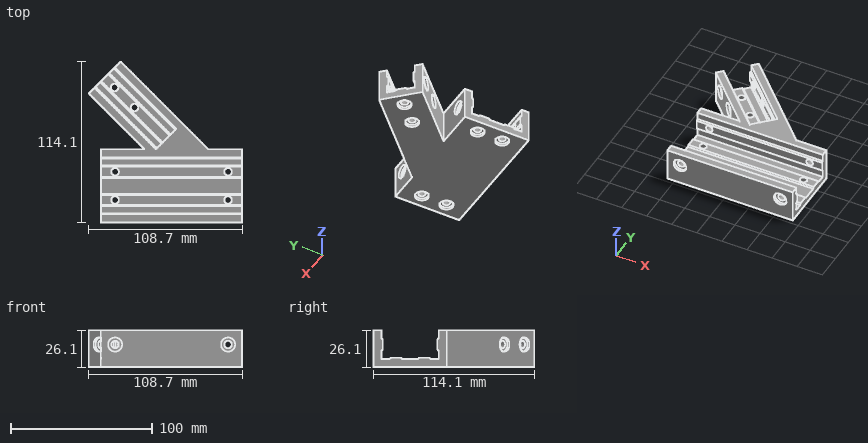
import cadquery as cq
import math

CHANNEL_DEPTH = 20.4
WIDE_CHANNEL = 40.4
NARROW_CHANNEL = 20.4
FLOOR = 5.75
WALL = 5.8
HEIGHT = FLOOR + CHANNEL_DEPTH
BASE_LENGTH = 100.0
BASE_WIDTH = WIDE_CHANNEL + 2 * WALL
ARM_WIDTH = NARROW_CHANNEL + 2 * WALL

ARM_ANGLE = 135.0
ARM_AXIS_LENGTH = 71.766
ARM_AXIS_X = 53.33
LEAN = math.radians(180 - ARM_ANGLE)
ARM_CHANNEL_LENGTH = ARM_AXIS_LENGTH - NARROW_CHANNEL / 2 / math.tan(LEAN)

RIB_HEIGHT = 1.0
RIB_TOP = 7.0
RIB_FOOT = 9.1
RIB_SINK = 0.5

MODULE = 20.0
SCREW_Z = FLOOR + CHANNEL_DEPTH / 2
END_MARGIN = 10.0
SCREW_DIAMETER = 5.2
HEAD_DIAMETER = 10.0
HEAD_DEPTH = 2.0
BASE_ROWS = [-MODULE / 2, MODULE / 2]
ARM_ROWS = [0.0]
BASE_SCREWS = [END_MARGIN, BASE_LENGTH - END_MARGIN]
ARM_SCREWS = [END_MARGIN, END_MARGIN + MODULE]


def block(length, width, height, z=0.0):
    """Box from x = 0, centred on y = 0, standing on the given z."""
    return cq.Workplane("XY").box(length, width, height, (False, True, False)).translate((0, 0, z))


def rib(length):
    """Rib along +X from the origin, rising in +Z from z = 0."""
    foot = RIB_FOOT / 2
    top = RIB_TOP / 2
    outline = [
        (-foot, -RIB_SINK),
        (foot, -RIB_SINK),
        (foot, 0),
        (top, RIB_HEIGHT),
        (-top, RIB_HEIGHT),
        (-foot, 0),
    ]
    return cq.Workplane("YZ").polyline(outline).close().extrude(length)


def screw_hole(x, thickness):
    """Tool for a counterbored hole along Z through a wall lying just below z = 0."""
    shank = cq.Workplane("XY").circle(SCREW_DIAMETER / 2).extrude(thickness + 2 * RIB_HEIGHT)
    head = cq.Workplane("XY").circle(HEAD_DIAMETER / 2).extrude(HEAD_DEPTH)
    return shank.union(head).translate((x, 0, -thickness))


def on_wall(tool, side, inner_width):
    """Turn a tool made for the floor onto the inner face of the side wall at +Y or -Y."""
    turned = tool.rotate((0, 0, 0), (1, 0, 0), 90 * side)
    return turned.translate((0, side * inner_width / 2, SCREW_Z))


def channel_cut(length, inner_width, floor_rows):
    """Clear space of a ribbed channel, starting at x = 0."""
    cut = block(length, inner_width, CHANNEL_DEPTH, FLOOR)
    for y in floor_rows:
        cut = cut.cut(rib(length).translate((0, y, FLOOR)))
    for side in (-1, 1):
        cut = cut.cut(on_wall(rib(length), side, inner_width))
    return cut


def drill(body, screws, inner_width, floor_rows):
    """Cut the screw holes of the floor rows and of both side walls."""
    for x in screws:
        floor_hole = screw_hole(x, FLOOR)
        wall_hole = screw_hole(x, WALL)
        for y in floor_rows:
            body = body.cut(floor_hole.translate((0, y, FLOOR)))
        for side in (-1, 1):
            body = body.cut(on_wall(wall_hole, side, inner_width))
    return body


def place_arm(shape):
    """Move a shape from the arm's own frame, free end at x = 0, to its place on the base."""
    shape = shape.translate((-ARM_AXIS_LENGTH, 0, 0))
    shape = shape.rotate((0, 0, 0), (0, 0, 1), ARM_ANGLE - 180)
    return shape.translate((ARM_AXIS_X, BASE_WIDTH / 2, 0))


arm_overrun = ARM_WIDTH / 2 / math.tan(LEAN)
arm = block(ARM_AXIS_LENGTH + arm_overrun, ARM_WIDTH, HEIGHT)
arm = arm.cut(channel_cut(ARM_CHANNEL_LENGTH, NARROW_CHANNEL, ARM_ROWS))
arm = drill(arm, ARM_SCREWS, NARROW_CHANNEL, ARM_ROWS)

body = block(BASE_LENGTH, BASE_WIDTH, HEIGHT).union(place_arm(arm))
body = body.cut(channel_cut(BASE_LENGTH, WIDE_CHANNEL, BASE_ROWS))
result = drill(body, BASE_SCREWS, WIDE_CHANNEL, BASE_ROWS)